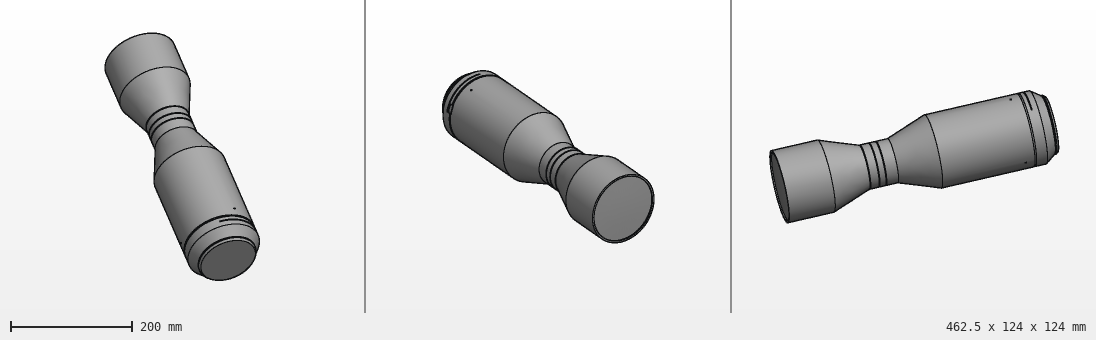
import cadquery as cq
import math

length = 462.5
body_radius = 62.0
front_radius = 61.0
neck_radius = 37.5

front_barrel_end = 78.0
neck_start = 144.0
neck_end = 192.5
rear_barrel_start = 261.0
rear_taper_start = 439.5
lip_start = 456.0

lip_radius = 50.0
lip_band_width = 3.0
end_radius = 47.0

recess_radius = 58.0
recess_depth = 2.5
dome_rise = 2.0

groove_width = 1.5
groove_depth = 0.5
neck_groove_starts = (neck_start, 159.5, 171.0)
rear_groove_start = 418.0
rear_groove_width = 3.0
lip_groove_width = 1.0

slot_start = 427.8
slot_width = 1.5
slot_angle_from = -3.0
pocket_angle_from = 66.0
pocket_angle_to = 80.0
pocket_end = 426.0
pocket_depth = 1.5

hole_count = 3
hole_station = 402.5
hole_diameter = 2.5
hole_depth = 4.5


def ring_cutter(start, width, radius, depth):
    """Ring that removes the given depth below a cylinder of this radius."""
    return (
        cq.Workplane("YZ", origin=(start, 0, 0))
        .circle(radius + depth)
        .circle(radius - depth)
        .extrude(width)
    )


def arc_cutter(start, width, depth, angle_from, angle_to):
    """Part of a ring groove on the rear barrel, between two angles."""
    reach = 2 * body_radius
    mid_angle = (angle_from + angle_to) / 2
    corners = [
        (reach * math.sin(math.radians(angle)), reach * math.cos(math.radians(angle)))
        for angle in (angle_from, mid_angle, angle_to)
    ]
    sector = cq.Workplane("YZ", origin=(start, 0, 0)).polyline([(0, 0)] + corners).close().extrude(width)
    return ring_cutter(start, width, body_radius, depth).intersect(sector)


def make_body():
    outline = [
        (0, 0),
        (0, front_radius),
        (front_barrel_end, front_radius),
        (neck_start, neck_radius),
        (neck_end, neck_radius),
        (rear_barrel_start, body_radius),
        (rear_taper_start, body_radius),
        (lip_start, lip_radius),
        (lip_start + lip_band_width, lip_radius),
        (length, end_radius),
        (length, 0),
    ]
    return cq.Workplane("XY").polyline(outline).close().revolve(360, (0, 0), (1, 0))


def make_front_recess():
    """Cutter for the recess; its inner face leaves the domed floor."""
    dome_top_x = recess_depth - dome_rise
    dome_sphere_radius = (recess_radius**2 + dome_rise**2) / (2 * dome_rise)
    mid_radius = recess_radius / 2
    mid_drop = dome_sphere_radius - math.sqrt(dome_sphere_radius**2 - mid_radius**2)
    return (
        cq.Workplane("XY")
        .lineTo(0, recess_radius)
        .lineTo(recess_depth, recess_radius)
        .threePointArc((dome_top_x + mid_drop, mid_radius), (dome_top_x, 0))
        .close()
        .revolve(360, (0, 0), (1, 0))
    )


def make_set_screw_holes():
    hole = (
        cq.Workplane("XZ", origin=(hole_station, -body_radius, 0))
        .circle(hole_diameter / 2)
        .extrude(-hole_depth)
    )
    holes = cq.Workplane("XY")
    for index in range(hole_count):
        holes = holes.add(hole.rotate((0, 0, 0), (1, 0, 0), index * 360 / hole_count))
    return holes.combine()


result = make_body().cut(make_front_recess())

for groove_start in neck_groove_starts:
    result = result.cut(ring_cutter(groove_start, groove_width, neck_radius, groove_depth))
result = result.cut(ring_cutter(rear_groove_start, rear_groove_width, body_radius, groove_depth))
result = result.cut(ring_cutter(lip_start, lip_groove_width, lip_radius, groove_depth))

pocket_width = pocket_end - rear_groove_start
result = result.cut(arc_cutter(slot_start, slot_width, groove_depth, slot_angle_from, pocket_angle_to))
result = result.cut(
    arc_cutter(rear_groove_start, pocket_width, pocket_depth, pocket_angle_from, pocket_angle_to)
)

result = result.cut(make_set_screw_holes())